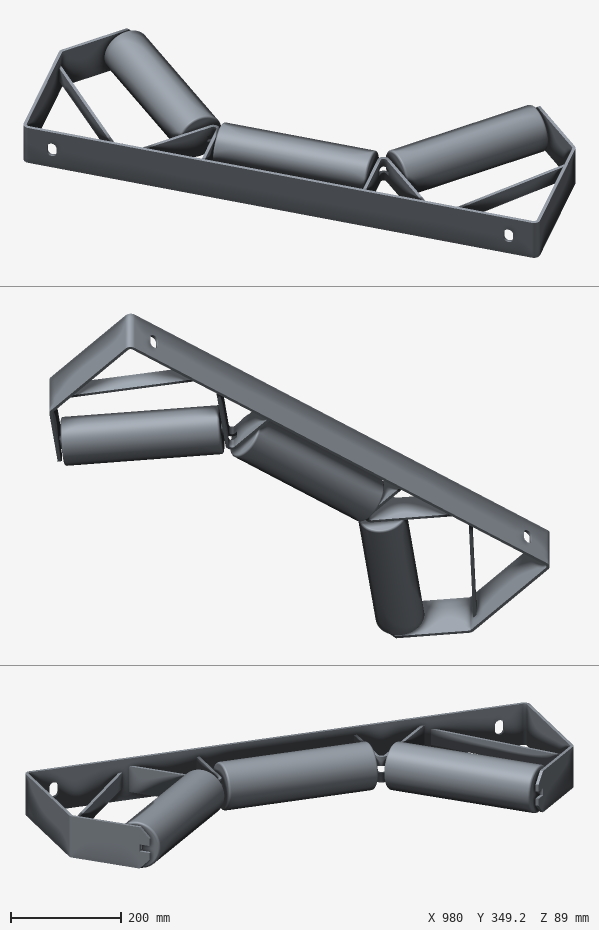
import cadquery as cq
import math

thickness = 6.0
bend_radius = 12.0

frame_width = 80.0
wing_chamfer = 20.0
frame_length = 980.0
wall_height = 235.0
wing_top = 347.0
mount_slot_width = 18.0
mount_slot_height = 28.0
mount_slot_x = 433.0

roller_length = 290.0
roller_diameter = 89.0
roller_edge_radius = 4.0
end_gap = 5.0
shaft_diameter = 23.0
tongue_width = 18.0
tongue_thickness = 14.0
flat_roller_y = 99.0

bracket_width = 50.0

brace_width = 30.0
brace_wall_height = 223.0
brace_foot_x = 300.0

diagonal = math.sqrt(0.5)
half_length = frame_length / 2
half_roller = roller_length / 2
wing_run = wing_top - wall_height
leg_face_x = half_roller + end_gap

axis_below_tip = 28.0
wing_tip_x = -half_length + wing_run
axis_to_roller_middle = thickness + end_gap + half_roller
tilted_roller_x = wing_tip_x + diagonal * (axis_to_roller_middle - axis_below_tip)
tilted_roller_y = wing_top - diagonal * (axis_to_roller_middle + axis_below_tip)


def strip(outline, width):
    """Extrude a closed XY outline symmetrically about Z = 0."""
    return cq.Workplane("XY").polyline(outline).close().extrude(width / 2, both=True)


def mirrored(body):
    """The matching body on the +X side."""
    return body.mirror("YZ")


def edges_at(body, x, y):
    """Select the edges of a body whose middle lies on the vertical line through (x, y)."""
    reach = 0.1
    corner = cq.selectors.BoxSelector(
        (x - reach, y - reach, -frame_width), (x + reach, y + reach, frame_width)
    )
    return body.edges(corner)


def arm_plane(x, y, shaft_direction, up_direction):
    """Plane of a strip arm, centred where a roller axis crosses it."""
    return cq.Plane(origin=(x, y, 0), xDir=up_direction, normal=shaft_direction)


def shaft_slot(plane):
    """Cutter for the slot that a shaft tongue drops into from the tip of an arm."""
    reach = 39.0
    depth = 2 * thickness
    slot_floor = -tongue_width / 2
    return (
        cq.Workplane(plane)
        .center((slot_floor + reach) / 2, 0)
        .rect(reach - slot_floor, tongue_thickness)
        .extrude(depth, both=True)
    )


def make_frame():
    """Bent strip: a base, two walls and two 45 degree wings that carry the outer shaft ends."""
    step = thickness * math.tan(math.pi / 8)
    tip_step = thickness * diagonal
    inner_x = half_length - thickness
    left = [
        (-inner_x, thickness),
        (-inner_x, wall_height - step),
        (wing_tip_x + tip_step, wing_top - tip_step),
        (wing_tip_x, wing_top),
        (-half_length, wall_height),
        (-half_length, 0),
    ]
    right = [(-x, y) for x, y in reversed(left)]
    frame = strip(left + right, frame_width)
    inner_radius = bend_radius - thickness
    for side in (-1, 1):
        frame = edges_at(frame, side * half_length, 0).fillet(bend_radius)
        frame = edges_at(frame, side * inner_x, thickness).fillet(inner_radius)
        frame = edges_at(frame, side * half_length, wall_height).fillet(bend_radius)
        frame = edges_at(frame, side * inner_x, wall_height - step).fillet(inner_radius)
        tip_middle_x = side * (wing_tip_x + tip_step / 2)
        frame = edges_at(frame, tip_middle_x, wing_top - tip_step / 2).chamfer(wing_chamfer)

    slots = (
        cq.Workplane("XZ")
        .pushPoints([(-mount_slot_x, 0), (mount_slot_x, 0)])
        .slot2D(mount_slot_height, mount_slot_width, 90)
        .extrude(-thickness)
    )
    axis_x = wing_tip_x - diagonal * axis_below_tip
    axis_y = wing_top - diagonal * axis_below_tip
    wing_slot = shaft_slot(arm_plane(axis_x, axis_y, (1, -1, 0), (1, 1, 0)))
    return frame.cut(slots).cut(wing_slot).cut(mirrored(wing_slot))


def make_bracket():
    """Left bracket: a leg beside the flat roller, bent over into a 45 degree arm."""
    axis_offset = half_roller + end_gap
    axis_x = tilted_roller_x + diagonal * axis_offset
    axis_y = tilted_roller_y - diagonal * axis_offset
    rise = axis_y - axis_x
    outer_x = -leg_face_x
    inner_x = outer_x - thickness
    inner_rise = rise - thickness / diagonal
    outline = [
        (outer_x, thickness),
        (outer_x, outer_x + rise),
        (thickness - rise, thickness),
        (thickness - inner_rise, thickness),
        (inner_x, inner_x + inner_rise),
        (inner_x, thickness),
    ]
    bracket = strip(outline, bracket_width)
    bracket = edges_at(bracket, outer_x, outer_x + rise).fillet(bend_radius)
    bracket = edges_at(bracket, inner_x, inner_x + inner_rise).fillet(bend_radius - thickness)

    leg_slot = shaft_slot(arm_plane(outer_x, flat_roller_y, (1, 0, 0), (0, 1, 0)))
    arm_slot = shaft_slot(arm_plane(axis_x, axis_y, (1, -1, 0), (1, 1, 0)))
    return bracket.cut(leg_slot).cut(arm_slot)


def make_brace():
    """Left brace from the frame wall down to the frame base."""
    wall_x = -half_length + thickness
    run = -brace_foot_x - wall_x
    drop = brace_wall_height - thickness
    slant = math.hypot(run, drop)
    outline = [
        (wall_x, brace_wall_height),
        (-brace_foot_x, thickness),
        (-brace_foot_x - thickness * slant / drop, thickness),
        (wall_x, brace_wall_height - thickness * slant / run),
    ]
    return strip(outline, brace_width)


def make_roller(x, y, tilt):
    """Roller with its shaft, the axis turned `tilt` degrees about Z from X."""
    shaft_length = roller_length + 2 * end_gap
    tongue_length = shaft_length + 2 * thickness
    roller = (
        cq.Workplane("YZ", origin=(-half_roller, 0, 0))
        .circle(roller_diameter / 2)
        .extrude(roller_length)
        .edges("%CIRCLE")
        .fillet(roller_edge_radius)
    )
    shaft = cq.Workplane("YZ").circle(shaft_diameter / 2).extrude(shaft_length / 2, both=True)
    tongue = cq.Workplane("XY").box(tongue_length, tongue_width, tongue_thickness)
    roller = roller.union(shaft).union(tongue)
    return roller.rotate((0, 0, 0), (0, 0, 1), tilt).translate((x, y, 0))


frame = make_frame()
left_bracket = make_bracket()
left_brace = make_brace()
brackets = [left_bracket, mirrored(left_bracket)]
braces = [left_brace, mirrored(left_brace)]
roller_places = [
    (-tilted_roller_x, tilted_roller_y, 45),
    (0, flat_roller_y, 0),
    (tilted_roller_x, tilted_roller_y, -45),
]
rollers = [make_roller(x, y, tilt) for x, y, tilt in roller_places]

bodies = [frame, *brackets, *braces, *rollers]
result = cq.Compound.makeCompound([body.val() for body in bodies])